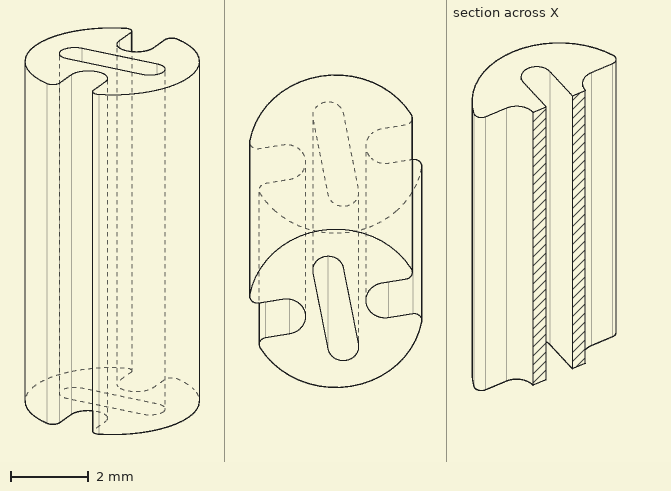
import cadquery as cq

length = 9.5
outer_diameter = 4.5
groove_width = 1.0
groove_floor_offset = 0.8
lip_radius = 0.2
slot_length = 3.0
slot_width = 0.8

outer_radius = outer_diameter / 2
groove_radius = groove_width / 2


def groove_cutter(side):
    """Round-bottomed groove open to the outside; side is +1 for +Y, -1 for -Y."""
    floor_center = groove_floor_offset + groove_radius
    return (
        cq.Workplane("XY")
        .moveTo(-groove_radius, side * outer_diameter)
        .lineTo(-groove_radius, side * floor_center)
        .threePointArc((0, side * groove_floor_offset), (groove_radius, side * floor_center))
        .lineTo(groove_radius, side * outer_diameter)
        .close()
        .extrude(length)
    )


body = cq.Workplane("XY").circle(outer_radius).extrude(length)
for side in (1, -1):
    body = body.cut(groove_cutter(side))

for side in (">Y", "<Y"):
    body = body.edges("|Z").edges(side).fillet(lip_radius)

slot = cq.Workplane("XY").slot2D(slot_length, slot_width).extrude(length)
result = body.cut(slot)